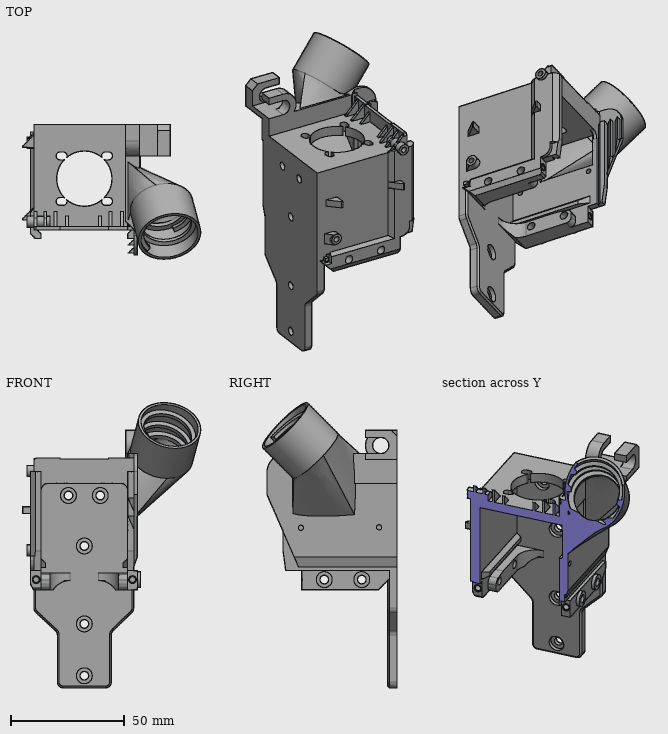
import cadquery as cq
import math


inner_half = 19.0
wall_outer = 22.2
rim_outer = 23.7
back_thick = 4.2
slab_top = 94.5
slab_bottom = 90.0
rim_recess_front = -36.6
rim_front = -38.9
wall_bottom = 51.6
cheek_front = -50.3
cheek_top = 95.2
cheek_half = 21.75
cheek_slant_start = 60.3
cheek_slant_front = -49.1
cheek_step = 1.7
cheek_chamfer = 2.2
rim_round = 4.3
rim_lower_front = -46.9
side_chamfer_land = 58.0

beam_front = -46.5
beam_back = -44.9
beam_top = 101.3
beam_dip = 0.5
beam_dip_half = 10.6
beam_corner = 1.0
gusset_thick = 1.3
long_gusset_foot = -38.4
short_gusset_foot = -40.3
long_gussets = (gusset_thick / 2 - wall_outer, -17.2, -12.6, 11.5, 16.5)
short_gussets = (-7.7, 6.9)
opening_corner = 3.0

fan_y = -23.9
fan_hole = 24.2
fan_pitch = 20.0
fan_slot_length = 4.7
fan_slot_width = 3.4

tongue_half = 11.9
shoulder_z = 34.0
neck_z = 24.4
tongue_corner = 2.6
tongue_chamfer = 0.8
screw_hole = 3.7
screw_head = 7.0
screw_head_depth = 2.0
screw_points = [(0, 5.4), (0, 28.2), (0, 62.5), (-7.0, 84.7), (7.0, 84.7)]

rail_top = 50.7
rail_bottom = 43.2
rail_front = -42.1
rail_root = -3.3
rail_root_z = 48.2
right_rail_outer = 23.3
inner_rail_half = 15.1
inner_rail_front = -35.8
inner_taper_start = -28.0
inner_taper = 1.0
inner_end_round = 2.5
root_fillet = 8.9
rail_edge_x = 1.3
rail_edge_z = 2.4
rail_nose = 0.8
rail_hole_z = 47.7
rail_holes_y = (-15.6, -32.1)
rail_boss_outer = 24.8
rail_front_hole = 2.6
rail_front_hole_x = 21.2
rail_front_hole_depth = 6.0
rail_front_entry = 3.4
rail_front_entry_depth = 0.4
ledge_width = 1.9
ledge_top = 56.9
ledge_bottom = 53.1
ledge_taper_start = -38.2
ledge_tip = -43.0
notch_back = -1.8
notch_step = -4.9
notch_front = -6.5
notch_step_z = 50.0
notch_top = 52.3
notch_depth = 2.0

catch_tip_x = -27.12
catch_land = 0.6
catch_bottom = 76.7
catch_top = 79.8
catch_fronts = (-10.2, -42.1)
boss_outer_x = -25.3
boss_diameter = 5.0
boss_land = 1.2
boss_hole = 2.5
boss_hole_depth = 5.0
upper_boss = (-42.9, 95.5)
lower_boss = (-8.1, 60.6)
upper_boss_inner_x = -15.0

riser_inner = 18.2
riser_outer = 24.2
riser_top = 103.2
riser_step = -19.2
riser_front = -42.7
air_plate_inner = cheek_half
air_plate_outer = 23.3
air_plate_front = -57.4
air_plate_foot = -42.7
air_plate_low = 69.0
air_plate_corner = 85.2
air_plate_arc_middle = (-54.7, 100.9)
air_plate_arc_end = -49.0
plate_taper_start = 1.6
plate_taper_end = 6.0
vane_fronts = (-53.2, -56.7)
vane_depth = 2.5
pin_hole = 2.3
pin_holes = [(-8.0, 70.7), (-42.4, 70.5)]
hook_top = 113.45
hook_depth = 14.0
hook_bore = 7.0
hook_far_inner = 32.2
hook_far_outer = 37.9
hook_edge = 2.7
hook_base_thick = 2.6

socket_outer = 28.0
socket_length = 19.0
socket_end = (37.5, -49.32, 115.52)
socket_turn = math.radians(15.0)
mouth_bore = 25.5
thread_root_cover = 0.5
thread_crest = 22.0
socket_throat = 20.7
thread_start_depth = 2.4
thread_start_angle = -30.0
thread_pitch = 7.2
thread_turns = 1.8
thread_foot = 3.0
thread_land = 1.6
throat_start = 17.0
duct_plane_x = 19.05
passage_plane_x = 20.0
duct_back = -16.4
duct_front = -46.0
duct_bottom = 71.7
duct_top = 103.0
duct_skin = 1.6


def box(x0, x1, y0, y1, z0, z1):
    """Axis-aligned block between two limits on each axis."""
    return cq.Workplane("XY").box(x1 - x0, y1 - y0, z1 - z0, centered=False).translate((x0, y0, z0))


def side_prism(points, x0, x1):
    """Prism with a (Y, Z) outline, running from x0 to x1."""
    return cq.Workplane("YZ").polyline(points).close().extrude(x1 - x0).translate((x0, 0, 0))


def plan_prism(points, z0, z1):
    """Prism with an (X, Y) outline, running from z0 to z1."""
    return cq.Workplane("XY").polyline(points).close().extrude(z1 - z0).translate((0, 0, z0))


def rod(diameter, x0, x1, y, z):
    """Cylinder parallel to X."""
    return cq.Workplane("YZ").center(y, z).circle(diameter / 2).extrude(x1 - x0).translate((x0, 0, 0))


def make_back_plate():
    """Back plate that narrows into the tongue, with a chamfered front edge."""
    outline = [
        (-wall_outer, wall_bottom),
        (-wall_outer, shoulder_z),
        (-tongue_half, neck_z),
        (-tongue_half, 0),
        (tongue_half, 0),
        (tongue_half, neck_z),
        (cheek_half, shoulder_z),
        (cheek_half, wall_bottom),
    ]
    tongue = cq.Workplane("XZ").polyline(outline).close().extrude(back_thick)
    tongue = tongue.edges("|Y").edges("not >Z").fillet(tongue_corner)
    tongue = tongue.faces("<Y").chamfer(tongue_chamfer)
    upper = box(-wall_outer, cheek_half, -back_thick, 0, rail_root_z, slab_top)
    return tongue.union(upper)


def cut_screw_holes(body):
    """Screw holes through the back plate, counterbored from the front."""
    holes = cq.Workplane("XZ").pushPoints(screw_points).circle(screw_hole / 2).extrude(back_thick)
    heads = cq.Workplane("XZ", origin=(0, -back_thick + screw_head_depth, 0))
    heads = heads.pushPoints(screw_points).circle(screw_head / 2).extrude(screw_head_depth)
    return body.cut(holes).cut(heads)


def make_top():
    """Top slab with the front beam standing on it and its row of gussets."""
    top = box(-wall_outer, cheek_half, beam_front, 0, slab_bottom, slab_top)
    beam = box(-wall_outer, cheek_half, beam_front, beam_back, slab_bottom, beam_top)
    beam = beam.edges("|Y and >Z and <X").chamfer(beam_corner)
    beam = beam.cut(box(-beam_dip_half, beam_dip_half, beam_front, beam_back, beam_top - beam_dip, beam_top))
    for side in (-1, 1):
        corner = box(inner_half - opening_corner, inner_half, beam_front, beam_back,
                     slab_bottom - opening_corner, slab_bottom)
        round_cut = cq.Workplane("XZ", origin=(inner_half - opening_corner, 0, slab_bottom - opening_corner))
        corner = corner.cut(round_cut.circle(opening_corner).extrude(-beam_front))
        beam = beam.union(corner if side > 0 else corner.mirror("YZ"))
    top = top.union(beam)
    gussets = [(x, long_gusset_foot) for x in long_gussets] + [(x, short_gusset_foot) for x in short_gussets]
    for x, foot in gussets:
        peak = slab_top + foot - beam_back
        rib = [(foot, slab_top), (beam_back, peak), (beam_back, slab_top)]
        top = top.union(side_prism(rib, x - gusset_thick / 2, x + gusset_thick / 2))
    return top


def cut_fan_opening(body):
    """Round fan opening and four slotted screw holes."""
    slab = slab_top - slab_bottom
    hole = cq.Workplane("XY", origin=(0, fan_y, slab_bottom)).circle(fan_hole / 2).extrude(slab)
    slots = cq.Workplane("XY", origin=(0, fan_y, slab_bottom)).rarray(fan_pitch, fan_pitch, 2, 2)
    slots = slots.slot2D(fan_slot_length, fan_slot_width).extrude(slab)
    return body.cut(hole).cut(slots)


def make_cheek_profile(x0, x1):
    """Side wall from the back face to the slanted front edge."""
    outline = [
        (0, wall_bottom),
        (cheek_slant_front, wall_bottom),
        (cheek_front, cheek_slant_start),
        (cheek_front, cheek_top),
        (beam_front, cheek_top),
        (beam_front, slab_top),
        (0, slab_top),
    ]
    side = 1 if x0 > 0 else -1
    undercut = [
        (side * inner_half, beam_front),
        (side * inner_half, beam_front - cheek_step),
        (side * (inner_half + cheek_step), beam_front),
    ]
    return side_prism(outline, x0, x1).cut(plan_prism(undercut, wall_bottom, cheek_top))


def make_left_wall():
    """Left wall with the raised rim along its front and lower edge."""
    wall = make_cheek_profile(-wall_outer, -inner_half)
    rim_plan = [
        (-wall_outer, rim_recess_front),
        (-rim_outer, rim_front),
        (-rim_outer, cheek_front),
        (-wall_outer, cheek_front),
    ]
    rim = plan_prism(rim_plan, wall_bottom, cheek_top)
    foot = box(-rim_outer, -wall_outer, cheek_front, rim_lower_front, wall_bottom, side_chamfer_land)
    corner = box(-rim_outer, -wall_outer, rim_lower_front, rim_lower_front + rim_round,
                 wall_bottom, wall_bottom + rim_round)
    corner = corner.cut(rod(2 * rim_round, -rim_outer, -wall_outer,
                            rim_lower_front + rim_round, wall_bottom + rim_round))
    wall = wall.union(rim.cut(foot).cut(corner))
    edge = [
        (-rim_outer, cheek_front + cheek_chamfer),
        (-rim_outer, cheek_front),
        (-rim_outer + cheek_chamfer, cheek_front),
    ]
    return wall.cut(plan_prism(edge, side_chamfer_land, cheek_top))


def rail_outline(top, front):
    """Rail seen along X; its root climbs to the back plate at 45 degrees."""
    root_run = rail_root_z - rail_bottom
    return [
        (rail_root, top),
        (rail_root, rail_root_z),
        (rail_root - root_run, rail_bottom),
        (front, rail_bottom),
        (front, top),
    ]


def make_rail(side, outer):
    """Lower rail of one side: outer bar, inner bar and the round fillet into the back plate."""
    outer_bar = side_prism(rail_outline(wall_bottom, rail_front), inner_half, outer)
    inner_outline = rail_outline(rail_top, inner_rail_front)[:-1]
    inner_outline += [(inner_rail_front, rail_top - inner_taper), (inner_taper_start, rail_top)]
    inner_bar = side_prism(inner_outline, inner_rail_half, inner_half)
    inner_bar = inner_bar.edges("|X and <Y").fillet(inner_end_round)
    fillet_x = inner_rail_half - root_fillet
    fillet_y = -back_thick - root_fillet
    web = side_prism(rail_outline(rail_top, fillet_y), fillet_x, inner_rail_half)
    web = web.cut(cq.Workplane("XY", origin=(fillet_x, fillet_y, 0)).circle(root_fillet).extrude(slab_top))
    ledge_outline = [
        (inner_half, ledge_bottom),
        (inner_half, ledge_top),
        (inner_half - ledge_width, ledge_top - ledge_width),
        (inner_half - ledge_width, ledge_bottom),
    ]
    ledge = cq.Workplane("XZ").polyline(ledge_outline).close().extrude(-ledge_tip)
    tip = [
        (inner_half, ledge_tip),
        (inner_half - ledge_width, ledge_taper_start),
        (inner_half - ledge_width, ledge_tip),
    ]
    ledge = ledge.cut(plan_prism(tip, ledge_bottom, ledge_top))
    rail = outer_bar.union(inner_bar).union(web).union(ledge)
    return rail if side > 0 else rail.mirror("YZ")


def make_rails():
    """Both rails; the left one has chamfered edges, the right one has bosses round its cross holes."""
    left = make_rail(-1, rim_outer)
    lower_edge = [
        (-rim_outer, rail_bottom),
        (-rim_outer, rail_bottom + rail_edge_z),
        (-rim_outer + rail_edge_x, rail_bottom),
    ]
    left = left.cut(cq.Workplane("XZ").polyline(lower_edge).close().extrude(-rail_front))
    nose = [
        (rail_front, rail_bottom),
        (rail_front, rail_bottom + rail_nose),
        (rail_front + rail_nose, rail_bottom),
    ]
    left = left.cut(side_prism(nose, -rim_outer, -inner_half))
    slope = [
        (-wall_outer, wall_bottom),
        (-rim_outer, wall_bottom),
        (-wall_outer, wall_bottom + rim_outer - wall_outer),
    ]
    slope = cq.Workplane("XZ", origin=(0, notch_front, 0)).polyline(slope).close()
    slope = slope.extrude(notch_front - rim_front)
    right = make_rail(1, right_rail_outer)
    for y in rail_holes_y:
        right = right.union(rod(screw_head, inner_half, rail_boss_outer, y, rail_hole_z))
    return left.union(slope).union(right)


def cut_rail_holes(body):
    """Cross holes through both rails and a pilot hole in each rail's front end."""
    for y in rail_holes_y:
        body = body.cut(rod(screw_hole, -rim_outer, rail_boss_outer, y, rail_hole_z))
    for x in (-rail_front_hole_x, rail_front_hole_x):
        front_end = cq.Workplane("XZ", origin=(x, rail_front, rail_hole_z))
        body = body.cut(front_end.circle(rail_front_hole / 2).extrude(-rail_front_hole_depth))
        body = body.cut(front_end.circle(rail_front_entry / 2).extrude(-rail_front_entry_depth))
    return body


def cut_root_notch(body):
    """Stepped notch where the left rail meets the back plate."""
    notch = [
        (notch_back, notch_step_z),
        (notch_step, notch_step_z),
        (notch_step, notch_top),
        (notch_front, notch_top),
        (notch_front, rail_root_z),
        (rail_root, rail_root_z),
    ]
    return body.cut(side_prism(notch, -rim_outer, -rim_outer + notch_depth))


def make_catches():
    """Two 45 degree catches on the outside of the left wall."""
    reach = -wall_outer - catch_tip_x
    catches = cq.Workplane("XY")
    for front in catch_fronts:
        outline = [
            (-inner_half, front),
            (catch_tip_x, front),
            (catch_tip_x, front + catch_land),
            (-wall_outer, front + catch_land + reach),
            (-inner_half, front + catch_land + reach),
        ]
        catches = catches.union(plan_prism(outline, catch_bottom, catch_top))
    return catches


def make_pin_bosses():
    """Two round bosses on the left wall; the lower one is backed by a 45 degree ramp."""
    bosses = rod(boss_diameter, boss_outer_x, upper_boss_inner_x, *upper_boss)
    bosses = bosses.union(rod(boss_diameter, boss_outer_x, -inner_half, *lower_boss))
    y, z = lower_boss
    radius = boss_diameter / 2
    reach = -wall_outer - boss_outer_x
    ramp = [
        (-inner_half, y),
        (boss_outer_x, y),
        (boss_outer_x, y + boss_land),
        (-wall_outer, y + boss_land + reach),
        (-inner_half, y + boss_land + reach),
    ]
    return bosses.union(plan_prism(ramp, z - radius, z + radius))


def cut_pin_holes(body):
    """Blind holes in the left bosses and small holes through the right wall."""
    for y, z in (upper_boss, lower_boss):
        body = body.cut(rod(boss_hole, boss_outer_x, boss_outer_x + boss_hole_depth, y, z))
    for y, z in pin_holes:
        body = body.cut(rod(pin_hole, inner_half, air_plate_outer, y, z))
    return body


def make_right_wall():
    """Right wall, the riser above the slab and the air plate with its vanes."""
    wall = make_cheek_profile(inner_half, cheek_half)
    riser_plan = [
        (riser_inner, 0),
        (riser_inner, riser_front),
        (air_plate_inner, riser_front - air_plate_inner + riser_inner),
        (air_plate_outer, riser_front - air_plate_inner + riser_inner),
        (air_plate_outer, riser_step),
        (riser_outer, riser_step),
        (riser_outer, 0),
    ]
    riser = plan_prism(riser_plan, slab_bottom, riser_top)
    thick = air_plate_outer - air_plate_inner
    plate = cq.Workplane("YZ").moveTo(0, wall_bottom).lineTo(air_plate_foot, wall_bottom)
    plate = plate.lineTo(air_plate_front, air_plate_corner).lineTo(air_plate_front, cheek_top)
    plate = plate.threePointArc(air_plate_arc_middle, (air_plate_arc_end, riser_top)).lineTo(0, riser_top)
    plate = plate.close().extrude(thick).translate((air_plate_inner, 0, 0))
    taper = [
        (air_plate_outer, wall_bottom),
        (air_plate_inner, wall_bottom),
        (air_plate_inner, wall_bottom + plate_taper_start),
        (air_plate_outer, wall_bottom + plate_taper_end),
    ]
    plate = plate.cut(cq.Workplane("XZ").polyline(taper).close().extrude(-air_plate_front))
    vane_limit = [(cheek_front, air_plate_low), (air_plate_front, air_plate_corner),
                  (air_plate_front, cheek_top), (cheek_front, cheek_top)]
    vane_limit = side_prism(vane_limit, inner_half, air_plate_inner)
    wall = wall.union(riser).union(plate)
    for front in vane_fronts:
        vane = [
            (air_plate_inner, front),
            (air_plate_inner - vane_depth, front),
            (air_plate_inner, front + vane_depth),
        ]
        wall = wall.union(plan_prism(vane, air_plate_low, cheek_top).intersect(vane_limit))
    return wall


def make_hooks():
    """Two opposed hooks around one bore parallel to X."""
    base = box(riser_inner, hook_far_outer, -hook_depth, 0, riser_top - hook_base_thick, riser_top)
    radius = hook_bore / 2
    bore_z = riser_top + radius
    hook_radius = hook_top - bore_z
    bore_y = hook_radius - hook_depth
    block = box(riser_inner, riser_outer, -hook_depth, 0, riser_top, hook_top)
    outer_round = rod(2 * hook_radius, riser_inner, riser_outer, bore_y, bore_z)
    near_back = box(riser_inner, riser_outer, bore_y, 0, riser_top, hook_top)
    near = block.intersect(outer_round.union(near_back))
    near = near.cut(box(riser_inner, riser_outer, bore_y, 0, riser_top, riser_top + hook_bore))
    far = box(hook_far_inner, hook_far_outer, -hook_depth, 0, riser_top, hook_top)
    far = far.edges("|X and >Y and >Z").chamfer(hook_edge)
    far = far.cut(box(hook_far_inner, hook_far_outer, -hook_depth, bore_y, riser_top, riser_top + hook_bore))
    bore = rod(hook_bore, riser_inner, hook_far_outer, bore_y, bore_z)
    return base.union(near).union(far).cut(bore)


socket_axis = cq.Vector(math.tan(socket_turn), -1, 1).normalized()
socket_start = cq.Vector(*socket_end) - socket_axis * socket_length


def duct_solid(plane_x, skin, circle_diameter):
    """Transition from the wall window, inset by skin, to the round end of the socket."""
    back = duct_back - skin
    front = duct_front + skin
    low = duct_bottom + skin
    high = duct_top - skin
    corners = [(back, high), (front, high), (front, low), (back, low)]
    window = cq.Wire.makePolygon([cq.Vector(plane_x, y, z) for y, z in corners], close=True)
    across = socket_axis.cross(cq.Vector(0, 0, 1)).normalized()
    up = across.cross(socket_axis).normalized()

    def on_circle(degrees):
        angle = math.radians(degrees)
        offset = across * math.cos(angle) + up * math.sin(angle)
        return socket_start + offset * (circle_diameter / 2)

    arcs = []
    for start in (90, 0, -90, -180):
        points = [on_circle(start), on_circle(start - 45), on_circle(start - 90)]
        arcs.append(cq.Edge.makeThreePointArc(*points))
    ring = cq.Wire.assembleEdges(arcs)
    return cq.Workplane(cq.Solid.makeLoft([window, ring], True))


def make_socket():
    """Hose socket cylinder."""
    return cq.Workplane(cq.Solid.makeCylinder(socket_outer / 2, socket_length, socket_start, socket_axis))


def make_thread(plane):
    """Helical ridge inside the socket, its foot sunk a little into the wall."""
    foot_radius = (mouth_bore + thread_root_cover) / 2
    crest_radius = thread_crest / 2
    path = cq.Wire.makeHelix(thread_pitch, thread_pitch * thread_turns, crest_radius)
    section = [
        (foot_radius, -thread_foot / 2),
        (crest_radius, -thread_land / 2),
        (crest_radius, thread_land / 2),
        (foot_radius, thread_foot / 2),
    ]
    ridge = cq.Workplane("XZ").polyline(section).close().sweep(cq.Workplane(path), isFrenet=True)
    ridge = ridge.rotate((0, 0, 0), (0, 0, 1), thread_start_angle).translate((0, 0, thread_start_depth))
    return cq.Workplane(ridge.val().moved(cq.Location(plane)))


def make_socket_bore():
    """Bore of the socket: mouth, threaded length and narrower throat."""
    across = socket_axis.cross(cq.Vector(0, 0, 1)).normalized()
    plane = cq.Plane(origin=socket_end, xDir=across, normal=socket_axis * -1)
    bore = cq.Workplane(plane).circle(mouth_bore / 2).extrude(throat_start)
    throat = cq.Workplane(plane).circle(socket_throat / 2).extrude(socket_length)
    return bore.cut(make_thread(plane)).union(throat)


body = make_back_plate().union(make_top()).union(make_left_wall()).union(make_right_wall())
body = body.union(make_rails()).union(make_catches()).union(make_pin_bosses()).union(make_hooks())
body = cut_screw_holes(body)
body = cut_fan_opening(body)
body = cut_rail_holes(body)
body = cut_pin_holes(body)
body = cut_root_notch(body)
outlet = duct_solid(duct_plane_x, 0, socket_outer).union(make_socket())
passage = duct_solid(passage_plane_x, duct_skin, socket_throat).union(make_socket_bore())
window = box(inner_half, passage_plane_x, duct_front + duct_skin, duct_back - duct_skin,
             duct_bottom + duct_skin, slab_bottom)
result = body.union(outlet).cut(passage).cut(window)